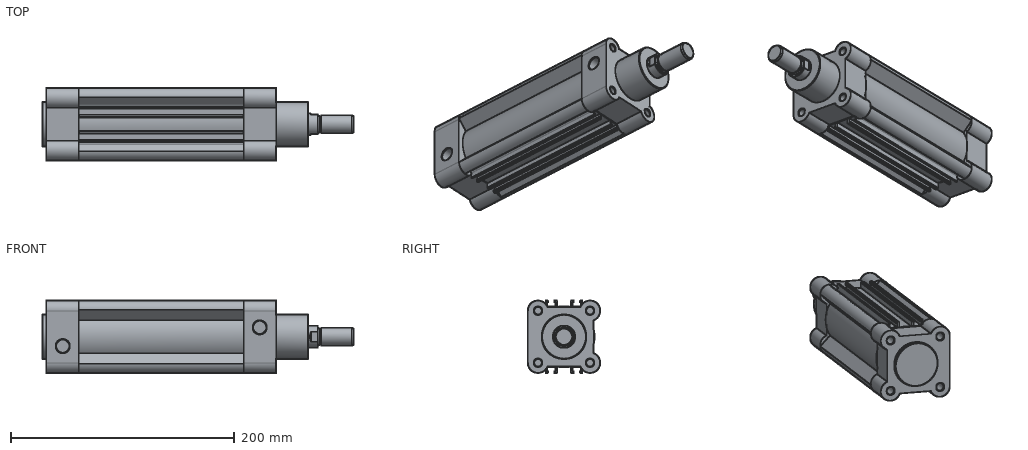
import cadquery as cq
import math


TOTAL_LENGTH = 279.0
BOSS_LENGTH = 3.5
CAP_LENGTH = 29.3
BARREL_LENGTH = 147.3
COLLAR_LENGTH = 28.7
REAR_CAP_START = BOSS_LENGTH
BARREL_START = REAR_CAP_START + CAP_LENGTH
FRONT_CAP_START = BARREL_START + BARREL_LENGTH
COLLAR_START = FRONT_CAP_START + CAP_LENGTH
COLLAR_END = COLLAR_START + COLLAR_LENGTH

SECTION_SIZE = 65.0
HALF_SIZE = SECTION_SIZE / 2
BOLT_SPACING = 46.5
BOLT_OFFSET = BOLT_SPACING / 2
LOBE_RADIUS = HALF_SIZE - BOLT_OFFSET

CAP_WAIST = 26.5
BOLT_HOLE_RADIUS = 3.3
PORT_RADIUS = 5.9
HOLE_CHAMFER = 0.5
BOSS_RADIUS = 20.0
BOSS_CHAMFER = 0.5
PORT_DEPTH = 12.5
PORT_OFFSET_Z = 8.5
PORT_INSET = 14.8
REAR_PORT_X = REAR_CAP_START + PORT_INSET
FRONT_PORT_X = COLLAR_START - PORT_INSET

TUBE_DIAMETER = 55.0
TUBE_RADIUS = TUBE_DIAMETER / 2
SLOPE_OFFSET = 8.5
SLOT_DEPTH = 5.3
SLOT_FLOOR = HALF_SIZE - SLOT_DEPTH
RIB_OUTER_WALL = 16.2
RIB_OUTER_FACE = 14.8
RIB_INNER_FACE = 7.8
RIB_INNER_WALL = 5.9
HOOK_REACH = 0.8
HOOK_HEIGHT = 1.7
RIB_CHAMFER = 0.8
GROOVE_RADIUS = 1.0

ROD_RADIUS = 10.0
FLAT_START = 240.8
FLAT_OFFSET = 9.0
ROD_SHOULDER = 247.0
CONE_RADIUS = 8.5
NECK_RADIUS = 7.3
NECK_START = 248.3
THREAD_START = 249.7
THREAD_RADIUS = 8.0
THREAD_CHAMFER_LENGTH = 1.7
THREAD_CHAMFER_DEPTH = 0.8

CORNERS = [(sy * BOLT_OFFSET, sz * BOLT_OFFSET) for sy in (-1, 1) for sz in (-1, 1)]


def section(x):
    """Cross-section plane at x, with local axes along Y and Z."""
    return cq.Workplane("YZ", origin=(x, 0, 0))


def x_cylinder(start, length, radius):
    return section(start).circle(radius).extrude(length)


def chamfered_hole(plane, radius, depth):
    """Hole running along the plane's normal, with a 45 degree chamfer at the plane."""
    bore = plane.circle(radius).extrude(depth)
    mouth = plane.circle(radius + HOLE_CHAMFER).extrude(HOLE_CHAMFER, taper=45)
    return bore.union(mouth)


def port(x, z):
    """Blind air port drilled in from the flat -Y side."""
    entry = cq.Workplane("ZX", origin=(x, -HALF_SIZE, z))
    return chamfered_hole(entry, PORT_RADIUS, PORT_DEPTH)


def cap_block(start, outer_side):
    """Cap with four lobes; only its -Y side is flush with them. Bolts enter on outer_side, -1 or 1 in X."""
    core = section(start).rect(2 * CAP_WAIST, 2 * CAP_WAIST).extrude(CAP_LENGTH)
    flat_side = (
        section(start)
        .center(-(HALF_SIZE + CAP_WAIST) / 2, 0)
        .rect(HALF_SIZE - CAP_WAIST, BOLT_SPACING)
        .extrude(CAP_LENGTH)
    )
    lobes = section(start).pushPoints(CORNERS).circle(LOBE_RADIUS).extrude(CAP_LENGTH)
    block = core.union(flat_side).union(lobes)
    outer_x = start if outer_side < 0 else start + CAP_LENGTH
    for y, z in CORNERS:
        entry = cq.Workplane(cq.Plane((outer_x, y, z), xDir=(0, 1, 0), normal=(-outer_side, 0, 0)))
        block = block.cut(chamfered_hole(entry, BOLT_HOLE_RADIUS, CAP_LENGTH))
    return block


def make_rear_cap():
    boss = x_cylinder(0, BOSS_LENGTH, BOSS_RADIUS).faces("<X").chamfer(BOSS_CHAMFER)
    return cap_block(REAR_CAP_START, -1).union(boss).cut(port(REAR_PORT_X, -PORT_OFFSET_Z))


def make_front_cap():
    collar = x_cylinder(COLLAR_START, COLLAR_LENGTH, BOSS_RADIUS).faces(">X").chamfer(BOSS_CHAMFER)
    rod_bore = x_cylinder(FRONT_CAP_START, COLLAR_END - FRONT_CAP_START, ROD_RADIUS)
    return (
        cap_block(FRONT_CAP_START, 1)
        .union(collar)
        .cut(rod_bore)
        .cut(port(FRONT_PORT_X, PORT_OFFSET_Z))
    )


def barrel_quarter():
    """Barrel section in the +Y +Z quadrant, extruded."""
    foot_distance = SLOPE_OFFSET / math.sqrt(2)
    half_chord = math.sqrt(LOBE_RADIUS**2 - foot_distance**2)
    flank_near = BOLT_OFFSET + (half_chord - foot_distance) / math.sqrt(2)
    flank_far = flank_near + SLOPE_OFFSET
    lobe_middle = BOLT_OFFSET + LOBE_RADIUS / math.sqrt(2)

    half_sum = math.sqrt(2 * TUBE_RADIUS**2 - SLOPE_OFFSET**2) / 2
    tube_flank_y = half_sum + SLOPE_OFFSET / 2
    tube_flank_z = half_sum - SLOPE_OFFSET / 2
    tube_angle = math.atan2(tube_flank_z, tube_flank_y) / 2

    groove_y = RIB_OUTER_WALL + GROOVE_RADIUS
    groove_z = groove_y + SLOPE_OFFSET + GROOVE_RADIUS * math.sqrt(2)
    groove_reach = GROOVE_RADIUS / math.sqrt(2)

    rib_root_z = math.sqrt(TUBE_RADIUS**2 - RIB_INNER_WALL**2)
    top_angle = math.asin(RIB_INNER_WALL / TUBE_RADIUS) / 2
    hook_bottom = HALF_SIZE - HOOK_HEIGHT

    return (
        section(BARREL_START)
        .moveTo(0, 0)
        .lineTo(TUBE_RADIUS, 0)
        .threePointArc(
            (TUBE_RADIUS * math.cos(tube_angle), TUBE_RADIUS * math.sin(tube_angle)),
            (tube_flank_y, tube_flank_z),
        )
        .lineTo(flank_far, flank_near)
        .threePointArc((lobe_middle, lobe_middle), (flank_near, flank_far))
        .lineTo(groove_y + groove_reach, groove_z - groove_reach)
        .threePointArc((groove_y, groove_z - GROOVE_RADIUS), (RIB_OUTER_WALL, groove_z))
        .lineTo(RIB_OUTER_WALL, HALF_SIZE)
        .lineTo(RIB_OUTER_FACE, HALF_SIZE)
        .lineTo(RIB_OUTER_FACE - HOOK_REACH, HALF_SIZE - RIB_CHAMFER)
        .lineTo(RIB_OUTER_FACE - HOOK_REACH, hook_bottom)
        .lineTo(RIB_OUTER_FACE, hook_bottom)
        .lineTo(RIB_OUTER_FACE, SLOT_FLOOR)
        .lineTo(RIB_INNER_FACE, SLOT_FLOOR)
        .lineTo(RIB_INNER_FACE, hook_bottom)
        .lineTo(RIB_INNER_FACE + HOOK_REACH, hook_bottom)
        .lineTo(RIB_INNER_FACE + HOOK_REACH, HALF_SIZE)
        .lineTo(RIB_INNER_WALL + RIB_CHAMFER, HALF_SIZE)
        .lineTo(RIB_INNER_WALL, HALF_SIZE - RIB_CHAMFER)
        .lineTo(RIB_INNER_WALL, rib_root_z)
        .threePointArc(
            (TUBE_RADIUS * math.sin(top_angle), TUBE_RADIUS * math.cos(top_angle)),
            (0, TUBE_RADIUS),
        )
        .close()
        .extrude(BARREL_LENGTH)
    )


def make_barrel():
    quarter = barrel_quarter()
    upper_half = quarter.union(quarter.mirror("XZ"))
    return upper_half.union(upper_half.mirror("XY"))


def turned_rod():
    """Rod turned about the X axis, with a stepped shoulder, a conical neck and a threaded end."""
    return (
        cq.Workplane("XY")
        .moveTo(FRONT_CAP_START, 0)
        .lineTo(FRONT_CAP_START, ROD_RADIUS)
        .lineTo(ROD_SHOULDER, ROD_RADIUS)
        .lineTo(ROD_SHOULDER, CONE_RADIUS)
        .lineTo(NECK_START, NECK_RADIUS)
        .lineTo(THREAD_START, NECK_RADIUS)
        .lineTo(THREAD_START, THREAD_RADIUS)
        .lineTo(TOTAL_LENGTH - THREAD_CHAMFER_LENGTH, THREAD_RADIUS)
        .lineTo(TOTAL_LENGTH, THREAD_RADIUS - THREAD_CHAMFER_DEPTH)
        .lineTo(TOTAL_LENGTH, 0)
        .close()
        .revolve(360, (0, 0, 0), (1, 0, 0))
    )


def wrench_flat():
    """Material removed for the flat on the +Y side, with a 45 degree run-in."""
    flat_depth = ROD_RADIUS - FLAT_OFFSET
    return (
        cq.Workplane("XY")
        .moveTo(FLAT_START - flat_depth, ROD_RADIUS)
        .lineTo(FLAT_START, FLAT_OFFSET)
        .lineTo(ROD_SHOULDER, FLAT_OFFSET)
        .lineTo(ROD_SHOULDER, ROD_RADIUS)
        .close()
        .extrude(ROD_RADIUS, both=True)
    )


def make_rod():
    flat = wrench_flat()
    return turned_rod().cut(flat).cut(flat.mirror("XZ"))


rear_cap = make_rear_cap()
barrel = make_barrel()
front_cap = make_front_cap()
piston_rod = make_rod()

result = cq.Compound.makeCompound(
    [rear_cap.val(), barrel.val(), front_cap.val(), piston_rod.val()]
)